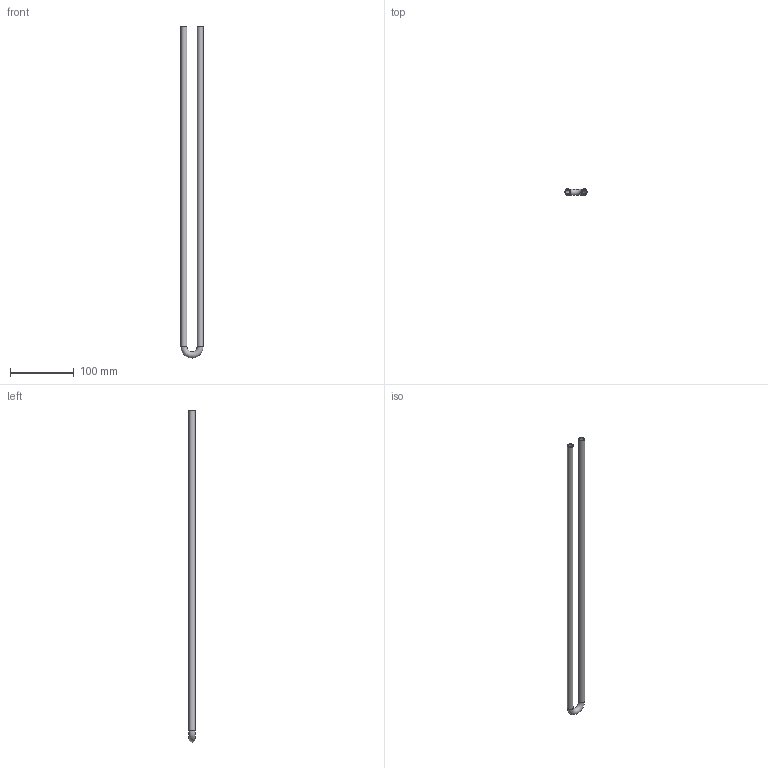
import cadquery as cq

tube_diameter = 9.525
wall_thickness = 1.0
leg_spacing = 25.4
overall_height = 520.38

outer_radius = tube_diameter / 2
bore_radius = outer_radius - wall_thickness
bend_radius = leg_spacing / 2
leg_length = overall_height - bend_radius - outer_radius


def make_centerline():
    """Run down the left leg, around the bend and up the right leg."""
    return (
        cq.Workplane("XZ")
        .moveTo(-bend_radius, leg_length)
        .lineTo(-bend_radius, 0)
        .threePointArc((0, -bend_radius), (bend_radius, 0))
        .lineTo(bend_radius, leg_length)
    )


def make_tube():
    """Sweep the ring-shaped tube section along the centerline."""
    section = (
        cq.Workplane("XY", origin=(-bend_radius, 0, leg_length))
        .circle(outer_radius)
        .circle(bore_radius)
    )
    return section.sweep(make_centerline())


result = make_tube()